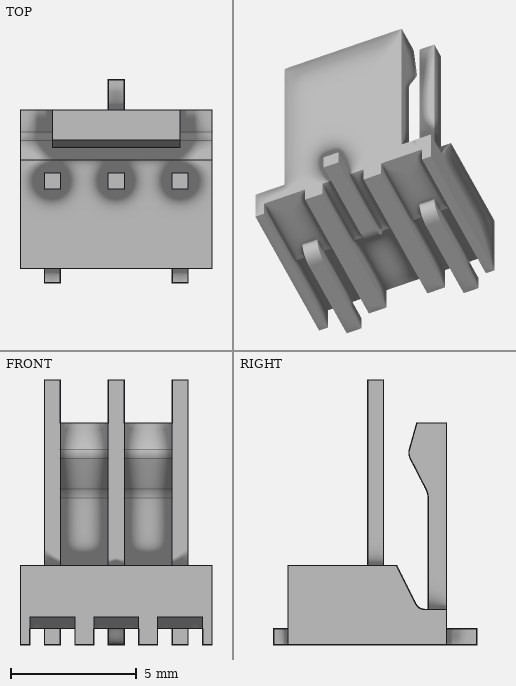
import cadquery as cq
import math

pin_pitch = 2.54
pin_size = 0.64
pin_top = 10.54
rear_tip_y = 4.03
front_tip_y = -4.06

body_width = 7.62
body_rear_y = 2.82
body_front_y = -3.49
body_height = 3.16
shelf_height = 1.41
ramp_top_y = 0.83
ramp_foot_y = 1.71
ramp_fillet = 0.38

slot_width = 1.78
slot_front_height = 1.11
slot_height = pin_size
slot_slope_angle = 27.5

latch_width = 2 * pin_pitch
latch_height = 8.82
latch_thickness = 0.74
latch_top_depth = 1.19
nose_depth = 1.54
nose_height = 7.58
nose_base_height = 6.02
nose_fillet = 0.51
nose_base_fillet = 0.78


def extrude_along_x(points, width, x_center=0):
    """Extrude a closed (Y, Z) outline symmetrically about x_center."""
    plane = cq.Workplane("YZ", origin=(x_center, 0, 0))
    return plane.polyline(points).close().extrude(width / 2, both=True)


def edge_along_x(y, z):
    """Select the edge parallel to X nearest to the given (Y, Z) place."""
    return cq.selectors.NearestToPointSelector((0, y, z))


def make_body():
    outline = [
        (body_front_y, 0),
        (body_rear_y, 0),
        (body_rear_y, shelf_height),
        (ramp_foot_y, shelf_height),
        (ramp_top_y, body_height),
        (body_front_y, body_height),
    ]
    body = extrude_along_x(outline, body_width)
    return body.edges("|X").edges(edge_along_x(ramp_foot_y, shelf_height)).fillet(ramp_fillet)


def make_slot(x):
    slope_depth = (slot_front_height - slot_height) * math.tan(math.radians(slot_slope_angle))
    slope_end_y = -pin_size / 2
    outline = [
        (body_front_y, 0),
        (body_rear_y, 0),
        (body_rear_y, slot_height),
        (slope_end_y, slot_height),
        (slope_end_y - slope_depth, slot_front_height),
        (body_front_y, slot_front_height),
    ]
    return extrude_along_x(outline, slot_width, x)


def make_latch():
    front_y = body_rear_y - latch_thickness
    nose_y = body_rear_y - nose_depth
    outline = [
        (body_rear_y, shelf_height),
        (body_rear_y, latch_height),
        (body_rear_y - latch_top_depth, latch_height),
        (nose_y, nose_height),
        (front_y, nose_base_height),
        (front_y, shelf_height),
    ]
    latch = extrude_along_x(outline, latch_width)
    latch = latch.edges("|X").edges(edge_along_x(nose_y, nose_height)).fillet(nose_fillet)
    return latch.edges("|X").edges(edge_along_x(front_y, nose_base_height)).fillet(nose_base_fillet)


def make_pin(x, tip_y):
    """Upright pin whose foot turns towards tip_y, with a rounded outer corner."""
    tip_side = math.copysign(pin_size / 2, tip_y)
    outer_side = -tip_side
    outline = [
        (outer_side, 0),
        (tip_y, 0),
        (tip_y, pin_size),
        (tip_side, pin_size),
        (tip_side, pin_top),
        (outer_side, pin_top),
    ]
    pin = extrude_along_x(outline, pin_size, x)
    heel = cq.selectors.NearestToPointSelector((x, outer_side, 0))
    return pin.edges("|X").edges(heel).fillet(pin_size)


result = make_body().union(make_latch())
pin_feet = [(-pin_pitch, front_tip_y), (0, rear_tip_y), (pin_pitch, front_tip_y)]
for pin_x, foot_tip_y in pin_feet:
    result = result.cut(make_slot(pin_x))
    result = result.union(make_pin(pin_x, foot_tip_y))